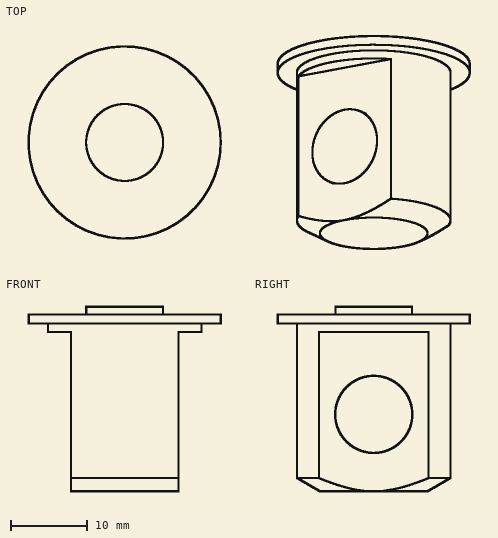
import cadquery as cq
import math

total_height = 24.0
flange_diameter = 25.0
flange_thickness = 1.2
boss_diameter = 10.0
boss_height = 1.0
body_diameter = 20.0
flat_spacing = 14.0
collar_height = 1.1
chamfer_width = 3.0
chamfer_angle = 30.0
hole_diameter = 10.0
hole_center_height = 10.0

body_radius = body_diameter / 2
chamfer_height = chamfer_width * math.tan(math.radians(chamfer_angle))
flange_top = total_height - boss_height
flange_bottom = flange_top - flange_thickness
flat_top = flange_bottom - collar_height


def turned_blank():
    """Body with bottom chamfer, flange and top boss, revolved about Z."""
    profile = [
        (0, 0),
        (body_radius - chamfer_width, 0),
        (body_radius, chamfer_height),
        (body_radius, flange_bottom),
        (flange_diameter / 2, flange_bottom),
        (flange_diameter / 2, flange_top),
        (boss_diameter / 2, flange_top),
        (boss_diameter / 2, total_height),
        (0, total_height),
    ]
    return cq.Workplane("XZ").polyline(profile).close().revolve(360, (0, 0), (0, 1))


def flat_cutter(side):
    """Block that removes the body outside one flat; side is +1 or -1 along X."""
    center_x = side * (flat_spacing / 2 + body_radius / 2)
    return (
        cq.Workplane("XY")
        .center(center_x, 0)
        .rect(body_radius, body_diameter)
        .extrude(flat_top)
    )


def cross_hole():
    """Cylinder along X that passes through both flats."""
    return (
        cq.Workplane("YZ")
        .center(0, hole_center_height)
        .circle(hole_diameter / 2)
        .extrude(body_radius, both=True)
    )


result = turned_blank()
for side in (-1, 1):
    result = result.cut(flat_cutter(side))
result = result.cut(cross_hole())